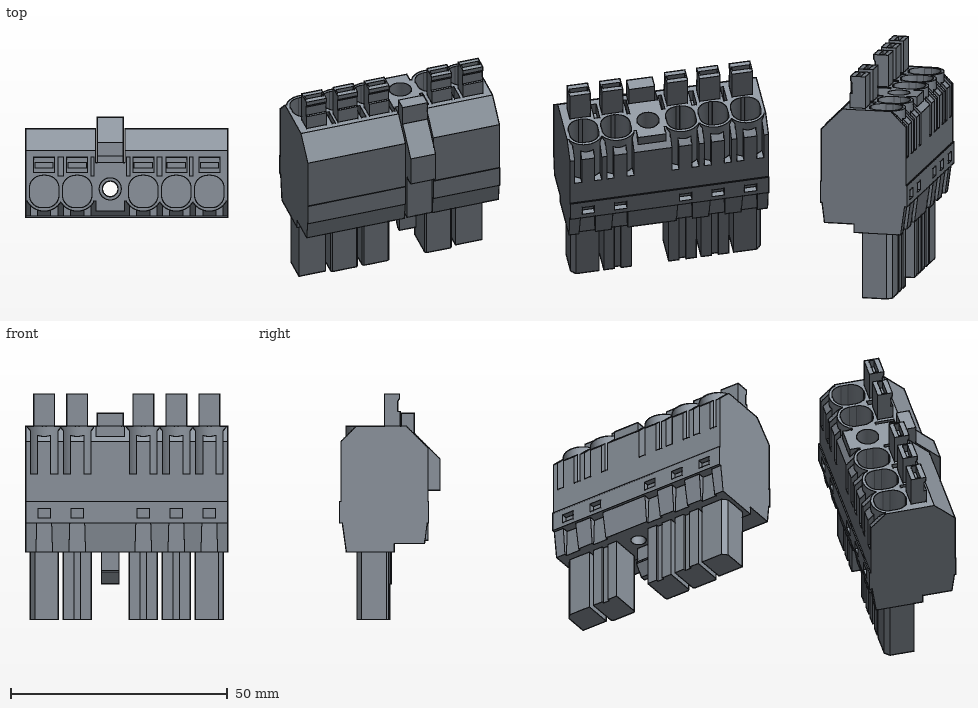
import cadquery as cq


POLE_COUNT = 6
POLE_SPAN = 38.1
PITCH = POLE_SPAN / (POLE_COUNT - 1)
LEVER_POLE = 2
pole_positions = [(i - (POLE_COUNT - 1) / 2) * PITCH for i in range(POLE_COUNT)]
lever_x = pole_positions[LEVER_POLE]
wire_poles = [x for i, x in enumerate(pole_positions) if i != LEVER_POLE]

WIDTH = 46.65
TOP_Z = 44.65
BOTTOM_Z = 15.6
FRONT_Y = 0.3
BACK_Y = 20.45
FRONT_CHAMFER = 3.55
BACK_CHAMFER = 5.0
BAND_TOP_Z = 27.3
BAND_BOTTOM_Z = 22.3
BAND_BACK_Y = 20.6
TAPER_FRONT_TOP_Y = 0.6
TAPER_FRONT_BOTTOM_Y = 1.55
TAPER_BACK_TOP_Y = 20.2
TAPER_BACK_BOTTOM_Y = 19.65
SHELF_Z = 17.55
STEP_Y = 12.65

BORE_WIDTH = 6.85
BORE_LENGTH = 7.45
BORE_CORNER_RADIUS = 2.9
BORE_Y = 6.0
BORE_DEPTH = 15.65
KEYWAY_WIDTH = 0.9
KEYWAY_DEPTH = 0.1
COLLAR_WALL = 0.8
COLLAR_RADIUS = BORE_LENGTH / 2 + COLLAR_WALL
RELIEF_INNER = 1.5
RELIEF_OUTER = 3.2
RELIEF_BOTTOM_Z = 33.65

BOSS_WIDTH = 6.55
BOSS_FRONT_Y = 1.5
SCREW_Y = 6.6
SCREW_DIAMETER = 3.55
SCREW_HEAD_DIAMETER = 5.1
SCREW_HEAD_DEPTH = 10.4

TOP_SLOTS = [(-15.2, 1.3), (-7.85, 0.7), (0.3, 0.8), (7.6, 1.15), (14.9, 0.8)]
TOP_SLOT_FRONT_Y = 9.55
TOP_SLOT_BACK_Y = 14.0
TOP_SLOT_DEPTH = 3.15

WINDOW_WIDTH = 2.9
WINDOW_BOTTOM_Z = 23.45
WINDOW_HEIGHT = 2.2
WINDOW_DEPTH = 1.35
CHANNEL_FLOOR_Y = 2.2
CHANNEL_TOP_WIDTH = 3.45
CHANNEL_BOTTOM_WIDTH = 3.85

FINGER_WIDTH = 6.5
FINGER_FRONT_Y = 4.0
END_FINGER_BACK_Y = 10.9
INNER_FINGER_BACK_Y = 11.6
INNER_FINGER_BACK_CHAMFER = 0.35
FINGER_CHAMFER = 1.1
FINGER_GROOVE_WIDTH = 1.55
FINGER_GROOVE_DEPTH = 0.55

HOOK_WIDTH = 4.05
HOOK_BACK_Y = 12
HOOK_STEM_FRONT_Y = 9.15
HOOK_BARB = 0.45
HOOK_BARB_TOP_Z = 11.4
HOOK_BARB_BOTTOM_Z = 11.0
HOOK_TIP_Z = 8.3
HOOK_TIP_FRONT_Y = 10.7

PUSHER_WIDTH = 4.85
PUSHER_FRONT_Y = 10.35
PUSHER_BACK_Y = 14.0
PUSHER_TOP_Z = 52.1
PUSHER_BOTTOM_Z = 36.5
PUSHER_LIP_Y = 13.85
PUSHER_LIP_BOTTOM_Z = 51.05
PUSHER_WAIST_Y = 13.5
PUSHER_WAIST_TOP_Z = 50.45
PUSHER_WAIST_BOTTOM_Z = 48.05
DRIVER_SLOT_WIDTH = 4.15
DRIVER_SLOT_FRONT_Y = 11.45
DRIVER_SLOT_BACK_Y = 12.65
DRIVER_SLOT_DEPTH = 2.1

NOTCH_WIDTH = 6.8
LEVER_WIDTH = 6.05
LEVER_TOP_Z = 47.7
LEVER_BOTTOM_Z = 18.3
LEVER_NECK_FRONT_Y = 14.2
LEVER_NECK_BACK_Y = 17.3
LEVER_SHOULDER_Z = 40.65
LEVER_SLOPE_TOP_Z = 43.0
LEVER_GRIP_Y = 23.2
LEVER_GRIP_BOTTOM_Z = 29.85

CLEAR = 0.5


def centred_block(x, width, y0, y1, z0, z1):
    """Box of a given width, centred on x, between two Y and two Z positions."""
    box = cq.Workplane("XY").box(width, y1 - y0, z1 - z0, centered=(True, False, False))
    return box.translate((x, y0, z0))


def side_profile(points, width, x=0):
    """Solid with a (Y, Z) outline, centred on x."""
    return cq.Workplane("YZ").polyline(points).close().extrude(width / 2, both=True).translate((x, 0, 0))


def make_shell():
    return side_profile(
        [
            (FRONT_Y + FRONT_CHAMFER, TOP_Z),
            (FRONT_Y, TOP_Z - FRONT_CHAMFER),
            (FRONT_Y, BAND_TOP_Z),
            (0, BAND_TOP_Z),
            (0, BAND_BOTTOM_Z),
            (TAPER_FRONT_TOP_Y, BAND_BOTTOM_Z),
            (TAPER_FRONT_BOTTOM_Y, BOTTOM_Z),
            (STEP_Y, BOTTOM_Z),
            (STEP_Y, SHELF_Z),
            (TAPER_BACK_BOTTOM_Y, SHELF_Z),
            (TAPER_BACK_TOP_Y, BAND_BOTTOM_Z),
            (BAND_BACK_Y, BAND_BOTTOM_Z),
            (BAND_BACK_Y, BAND_TOP_Z),
            (BACK_Y, BAND_TOP_Z),
            (BACK_Y, TOP_Z - BACK_CHAMFER),
            (BACK_Y - BACK_CHAMFER, TOP_Z),
        ],
        WIDTH,
    )


def relief_slots(x):
    """Two upright slots in the front face, one on each side of a central rib."""
    top = TOP_Z + CLEAR
    outer = centred_block(x, 2 * RELIEF_OUTER, -CLEAR, BORE_Y, RELIEF_BOTTOM_Z, top)
    rib = centred_block(x, 2 * RELIEF_INNER, -CLEAR, BORE_Y, RELIEF_BOTTOM_Z, top)
    return outer.cut(rib)


def collar(x):
    """Round wall around a wire bore, trimmed to the width of its own pole."""
    plane = cq.Workplane("XY", origin=(x, BORE_Y, RELIEF_BOTTOM_Z))
    wall = plane.circle(COLLAR_RADIUS).extrude(TOP_Z - RELIEF_BOTTOM_Z)
    return wall.intersect(centred_block(x, PITCH, 0, BACK_Y, 0, TOP_Z))


def wire_bore(x):
    """Blind bore of rounded rectangular section with a shallow keyway in its back wall."""
    bottom = TOP_Z - BORE_DEPTH
    top = TOP_Z + CLEAR
    half_length = BORE_LENGTH / 2
    bore = centred_block(x, BORE_WIDTH, BORE_Y - half_length, BORE_Y + half_length, bottom, top)
    bore = bore.edges("|Z").fillet(BORE_CORNER_RADIUS)
    keyway_back = BORE_Y + half_length + KEYWAY_DEPTH
    return bore.union(centred_block(x, KEYWAY_WIDTH, BORE_Y, keyway_back, bottom, top))


def screw_boss():
    boss_bottom = TOP_Z - FRONT_CHAMFER + BOSS_FRONT_Y - FRONT_Y
    return centred_block(lever_x, BOSS_WIDTH, BOSS_FRONT_Y, SCREW_Y, boss_bottom, TOP_Z)


def screw_hole():
    plane = cq.Workplane("XY", origin=(lever_x, SCREW_Y, 0))
    shank = plane.circle(SCREW_DIAMETER / 2).extrude(TOP_Z + CLEAR)
    head = (
        plane.workplane(offset=TOP_Z - SCREW_HEAD_DEPTH)
        .circle(SCREW_HEAD_DIAMETER / 2)
        .extrude(SCREW_HEAD_DEPTH + CLEAR)
    )
    return shank.union(head)


def taper_channel(x):
    """Flat-floored channel down the front taper, slightly wider at the bottom."""
    top = CHANNEL_TOP_WIDTH / 2
    bottom = CHANNEL_BOTTOM_WIDTH / 2
    outline = [(-top, BAND_BOTTOM_Z), (top, BAND_BOTTOM_Z), (bottom, BOTTOM_Z), (-bottom, BOTTOM_Z)]
    channel = cq.Workplane("XZ").polyline(outline).close().extrude(-CHANNEL_FLOOR_Y)
    return channel.translate((x, 0, 0))


def window(x):
    return centred_block(
        x, WINDOW_WIDTH, -CLEAR, WINDOW_DEPTH, WINDOW_BOTTOM_Z, WINDOW_BOTTOM_Z + WINDOW_HEIGHT
    )


def finger_block(x, back_y):
    return centred_block(x, FINGER_WIDTH, FINGER_FRONT_Y, back_y, 0, BOTTOM_Z + CLEAR)


def end_finger(x):
    """Contact finger at one end of the row, with its outer front corner chamfered."""
    outer_front_edge = "|Z and <Y and " + ("<X" if x < 0 else ">X")
    return finger_block(x, END_FINGER_BACK_Y).edges(outer_front_edge).chamfer(FINGER_CHAMFER)


def inner_finger(x):
    """Contact finger inside the row, with a front groove and chamfered back corners."""
    body = finger_block(x, INNER_FINGER_BACK_Y).edges("|Z and >Y").chamfer(INNER_FINGER_BACK_CHAMFER)
    groove_floor = FINGER_FRONT_Y + FINGER_GROOVE_DEPTH
    return body.cut(centred_block(x, FINGER_GROOVE_WIDTH, 0, groove_floor, -CLEAR, BOTTOM_Z))


def latch_hook():
    barb_y = HOOK_STEM_FRONT_Y - HOOK_BARB
    return side_profile(
        [
            (HOOK_STEM_FRONT_Y, BOTTOM_Z + CLEAR),
            (HOOK_STEM_FRONT_Y, HOOK_BARB_TOP_Z),
            (barb_y, HOOK_BARB_TOP_Z),
            (barb_y, HOOK_BARB_BOTTOM_Z),
            (HOOK_TIP_FRONT_Y, HOOK_TIP_Z),
            (HOOK_BACK_Y, HOOK_TIP_Z),
            (HOOK_BACK_Y, BOTTOM_Z + CLEAR),
        ],
        HOOK_WIDTH,
        lever_x,
    )


def lever_notch():
    return centred_block(lever_x, NOTCH_WIDTH, STEP_Y, BAND_BACK_Y + CLEAR, 0, TOP_Z + CLEAR)


def pusher_pocket(x):
    return centred_block(x, PUSHER_WIDTH, PUSHER_FRONT_Y, PUSHER_BACK_Y, PUSHER_BOTTOM_Z, TOP_Z + CLEAR)


def make_housing():
    housing = make_shell()
    for x in wire_poles:
        housing = housing.cut(relief_slots(x)).union(collar(x))
    housing = housing.union(screw_boss())
    for x in wire_poles:
        housing = housing.cut(wire_bore(x)).cut(pusher_pocket(x))
        housing = housing.cut(window(x)).cut(taper_channel(x))
    for x, width in TOP_SLOTS:
        slot_bottom = TOP_Z - TOP_SLOT_DEPTH
        housing = housing.cut(
            centred_block(x, width, TOP_SLOT_FRONT_Y, TOP_SLOT_BACK_Y, slot_bottom, TOP_Z + CLEAR)
        )
    housing = housing.cut(lever_notch())
    for x in wire_poles:
        is_end = x in (wire_poles[0], wire_poles[-1])
        housing = housing.union(end_finger(x) if is_end else inner_finger(x))
    return housing.union(latch_hook()).cut(screw_hole())


def make_pusher(x):
    """Spring-release pusher with a waisted back and a screwdriver slot in its top."""
    body = side_profile(
        [
            (PUSHER_FRONT_Y, PUSHER_BOTTOM_Z),
            (PUSHER_FRONT_Y, PUSHER_TOP_Z),
            (PUSHER_LIP_Y, PUSHER_TOP_Z),
            (PUSHER_LIP_Y, PUSHER_LIP_BOTTOM_Z),
            (PUSHER_WAIST_Y, PUSHER_WAIST_TOP_Z),
            (PUSHER_WAIST_Y, PUSHER_WAIST_BOTTOM_Z),
            (PUSHER_BACK_Y, PUSHER_WAIST_BOTTOM_Z),
            (PUSHER_BACK_Y, PUSHER_BOTTOM_Z),
        ],
        PUSHER_WIDTH,
        x,
    )
    slot_bottom = PUSHER_TOP_Z - DRIVER_SLOT_DEPTH
    slot_top = PUSHER_TOP_Z + CLEAR
    return body.cut(
        centred_block(x, DRIVER_SLOT_WIDTH, DRIVER_SLOT_FRONT_Y, DRIVER_SLOT_BACK_Y, slot_bottom, slot_top)
    )


def make_lever():
    """Release lever standing in the notch, with a sloped grip behind the housing."""
    grip_top_z = LEVER_SLOPE_TOP_Z - (LEVER_GRIP_Y - LEVER_NECK_BACK_Y)
    return side_profile(
        [
            (LEVER_NECK_FRONT_Y, LEVER_TOP_Z),
            (LEVER_NECK_BACK_Y, LEVER_TOP_Z),
            (LEVER_NECK_BACK_Y, LEVER_SLOPE_TOP_Z),
            (LEVER_GRIP_Y, grip_top_z),
            (LEVER_GRIP_Y, LEVER_GRIP_BOTTOM_Z),
            (BACK_Y, LEVER_GRIP_BOTTOM_Z),
            (BACK_Y, LEVER_BOTTOM_Z),
            (STEP_Y, LEVER_BOTTOM_Z),
            (STEP_Y, LEVER_SHOULDER_Z),
            (LEVER_NECK_FRONT_Y, LEVER_SHOULDER_Z),
        ],
        LEVER_WIDTH,
        lever_x,
    )


housing = make_housing()
pushers = [make_pusher(x) for x in wire_poles]
lever = make_lever()

result = cq.Compound.makeCompound([housing.val(), *[pusher.val() for pusher in pushers], lever.val()])